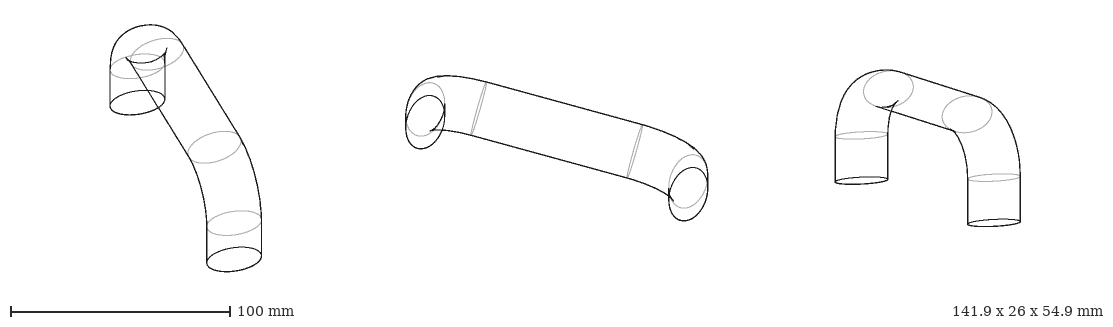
import cadquery as cq

length = 141.9
height = 54.9
grip_width = 26.0
grip_thickness = 17.0
outer_bend_radius = 33.9

half_thickness = grip_thickness / 2
half_span = length / 2 - half_thickness
bar_height = height - half_thickness
bend_radius = outer_bend_radius - half_thickness
leg_height = bar_height - bend_radius
half_bar = half_span - bend_radius

centreline = (
    cq.Workplane("XZ")
    .moveTo(-half_span, 0)
    .lineTo(-half_span, leg_height)
    .tangentArcPoint((-half_bar, bar_height), relative=False)
    .lineTo(half_bar, bar_height)
    .tangentArcPoint((half_span, leg_height), relative=False)
    .lineTo(half_span, 0)
)

result = (
    cq.Workplane("XY")
    .center(-half_span, 0)
    .ellipse(half_thickness, grip_width / 2)
    .sweep(centreline)
)